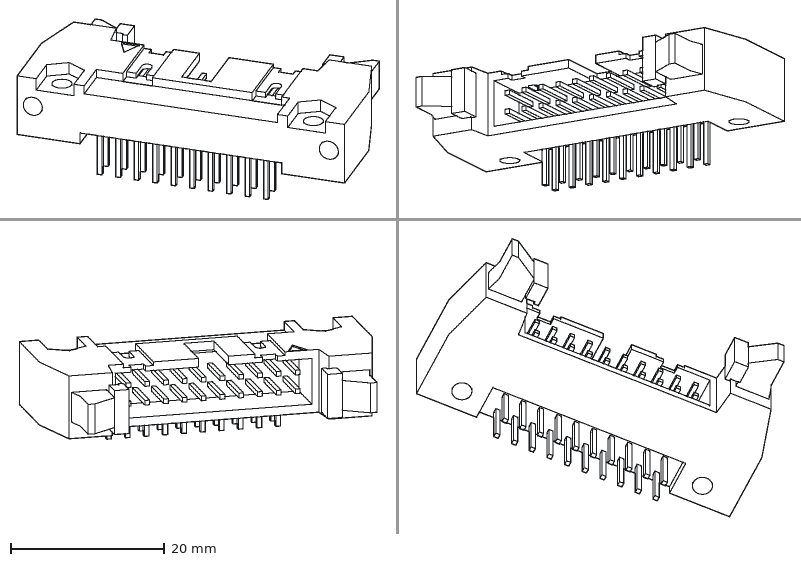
import cadquery as cq
import math


length = 45.0
height = 8.55
flank_depth = 10.05
tower_depth = 17.3
mouth_depth = 13.8
tower_outer_x = 20.48
tower_inner_x = 14.62
tower_root_x = 14.2
wall = 1.15

ledge_half_length = 13.28
ledge_depth = 5.05
relief_half_length = 13.85
relief_height = 1.58

cavity_floor_y = 7.4
key_width = 4.05
key_floor_y = 6.5

contacts_per_row = 10
row_length = 22.85
pitch = row_length / (contacts_per_row - 1)
pin_width = 0.65
pin_drop = 4.45
pin_tip_y = 13.55
front_leg_y = 1.1

channel_width = 4.05
channel_depth = 0.5
channel_positions = [-3 * pitch, 4 * pitch]
slot_width = 1.4
slot_end_y = 9.6
shelf_start_y = 6.55
step_depth = 1.2
notch_width = 2.0
notch_depth = 1.0

hole_diameter = 2.6
mount_x = 17.3
mount_y = 2.85
nut_width = 5.18
nut_pocket_depth = 1.65
front_hole_x = 20.35
front_hole_z = 4.45
front_hole_depth = 4.5

mark_x = -row_length / 2
mark_width = 2.5
mark_base_y = 13.55
mark_length = 2.55
mark_depth = 0.2

latch_thickness = 4.05
latch_tip_y = 23.3
latch_outer_x = 19.55
latch_root_x = 20.15
latch_bend_y = 19.35
latch_tip_inner_x = 18.65
latch_inner_x = 15.4
hook_height = 6.0
hook_inner_x = 13.4
hook_top_y = 21.2
hook_bottom_y = 18.55
lip_width = 0.68
lip_length = 0.3


def block(x_range, y_range, z_range):
    """Box spanning the given (low, high) range on each axis."""
    (x0, x1), (y0, y1), (z0, z1) = x_range, y_range, z_range
    return cq.Workplane("XY").box(x1 - x0, y1 - y0, z1 - z0, centered=False).translate((x0, y0, z0))


def centred(width, middle=0.0):
    """(low, high) range of the given width about its middle."""
    return (middle - width / 2, middle + width / 2)


def prism(points, z_range):
    """Straight prism over a closed outline in the XY plane."""
    z0, z1 = z_range
    return cq.Workplane("XY").workplane(offset=z0).polyline(points).close().extrude(z1 - z0)


def both_ends(shape):
    """The shape together with its mirror image across x = 0."""
    return shape.union(shape.mirror("YZ"))


def housing_blank():
    right_side = [
        (length / 2, 0),
        (length / 2, flank_depth),
        (tower_outer_x, tower_depth),
        (tower_inner_x, tower_depth),
        (tower_root_x, mouth_depth),
    ]
    left_side = [(-x, y) for x, y in reversed(right_side)]
    return prism(right_side + left_side, (0, height))


def ledge_cut():
    return block(centred(2 * ledge_half_length), (0, ledge_depth), (height - wall, height))


def relief_cut():
    return block(centred(2 * relief_half_length), (0, ledge_depth), (0, relief_height))


def cavity_cut():
    cavity = block(centred(2 * ledge_half_length), (cavity_floor_y, mouth_depth), (wall, height - wall))
    key = block(centred(key_width), (key_floor_y, mouth_depth), (height - wall, height))
    return cavity.union(key)


def channel_cut(x):
    top_wall = (height - wall, height)
    step_heights = (height - step_depth, height)
    shelf = block(
        centred(channel_width, x), (ledge_depth, mouth_depth), (height - channel_depth, height)
    )
    step = block(centred(channel_width, x), (ledge_depth, shelf_start_y), step_heights)
    slot_centre_y = slot_end_y - slot_width / 2
    slot = block(centred(slot_width, x), (shelf_start_y, slot_centre_y), step_heights)
    slot_end = (
        cq.Workplane("XY")
        .workplane(offset=height - wall)
        .center(x, slot_centre_y)
        .circle(slot_width / 2)
        .extrude(wall)
    )
    notch = block(centred(notch_width, x), (mouth_depth - notch_depth, mouth_depth), top_wall)
    return shelf.union(step).union(slot).union(slot_end).union(notch)


def mounting_cut():
    """Through hole with a hexagonal nut pocket that opens to the front face."""
    hole = cq.Workplane("XY").center(mount_x, mount_y).circle(hole_diameter / 2).extrude(height)
    corner_radius = nut_width / math.sqrt(3)
    left, right = centred(nut_width, mount_x)
    shoulder_y = mount_y + corner_radius / 2
    outline = [
        (left, 0),
        (right, 0),
        (right, shoulder_y),
        (mount_x, mount_y + corner_radius),
        (left, shoulder_y),
    ]
    pocket = prism(outline, (height - nut_pocket_depth, height))
    return both_ends(hole.union(pocket))


def front_hole_cut():
    hole = (
        cq.Workplane("XZ")
        .center(front_hole_x, front_hole_z)
        .circle(hole_diameter / 2)
        .extrude(-front_hole_depth)
    )
    return both_ends(hole)


def mark_cut():
    left, right = centred(mark_width, mark_x)
    outline = [(left, mark_base_y), (right, mark_base_y), (mark_x, mark_base_y - mark_length)]
    return prism(outline, (height - mark_depth, height))


def contact(x, leg_y, arm_z):
    """L-shaped square pin: a leg down through the board and an arm into the cavity."""
    half = pin_width / 2
    leg = block(centred(pin_width, x), centred(pin_width, leg_y), (-pin_drop, arm_z + half))
    arm = block(centred(pin_width, x), (leg_y - half, pin_tip_y), centred(pin_width, arm_z))
    return leg.union(arm)


def latch():
    arm_outline = [
        (latch_root_x, tower_depth),
        (latch_outer_x, latch_bend_y),
        (latch_outer_x, latch_tip_y),
        (latch_tip_inner_x, latch_tip_y),
        (latch_inner_x, hook_top_y),
        (latch_inner_x, tower_depth),
    ]
    hook_outline = [
        (latch_inner_x, hook_top_y),
        (hook_inner_x, hook_top_y),
        (hook_inner_x, hook_bottom_y - lip_length),
        (hook_inner_x + lip_width, hook_bottom_y - lip_length),
        (hook_inner_x + lip_width, hook_bottom_y),
        (latch_inner_x, hook_bottom_y),
    ]
    arm = prism(arm_outline, centred(latch_thickness, height / 2))
    hook = prism(hook_outline, centred(hook_height, height / 2))
    return arm.union(hook)


result = housing_blank()
for cut in (ledge_cut(), relief_cut(), cavity_cut(), mounting_cut(), front_hole_cut(), mark_cut()):
    result = result.cut(cut)
for channel_x in channel_positions:
    result = result.cut(channel_cut(channel_x))

for index in range(contacts_per_row):
    contact_x = index * pitch - row_length / 2
    result = result.union(contact(contact_x, front_leg_y, (height + pitch) / 2))
    result = result.union(contact(contact_x, front_leg_y + pitch, (height - pitch) / 2))

result = result.union(both_ends(latch()))